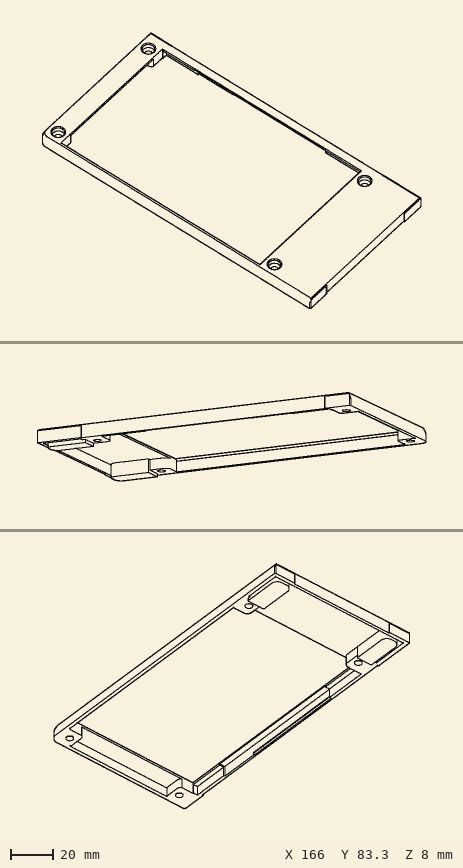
import cadquery as cq
import math

LENGTH = 166.0
WIDTH = 83.3
HEIGHT = 8.0

FOOT_HEIGHT = 1.5
PLATE_THICKNESS = 1.3
WALL = 2.0
CORNER_RADIUS = 4.3
PLATE_BOTTOM = HEIGHT - PLATE_THICKNESS

EDGE_START = 4.8
EDGE_INSET = 0.7
BEVEL_HEIGHT = 1.0
BEVEL_INSET = 0.5

PAD_HEIGHT = 0.5
PAD_BEVEL = PAD_HEIGHT
PAD_TOP_STEP = 0.5
REAR_PAD_LEFT = 13.8
REAR_PAD_RIGHT = 143.0
SIDE_PAD_LENGTH = 12.5

WINDOW_LEFT = 11.8
WINDOW_RIGHT = 133.0
WINDOW_FRONT = 2.3
WINDOW_REAR = 78.5
WINDOW_BEVEL = 0.5

REAR_WALL = 2.3
RELIEF_LEFT = 31.5
GROOVE_LEFT = 52.8
RELIEF_RIGHT = 109.5
RELIEF_DEPTH = 0.7
LIP_THICKNESS = 0.7
GROOVE_DEPTH = 0.3
GROOVE_TOP = 3.0

HOLE_X = (6.5, 138.6)
HOLE_Y = (6.8, 74.5)
BOSS_HALF_LENGTH = 5.6
BOSS_REACH = 4.2
BOSS_CORNER = 2.5
HOLE_RADIUS = 1.8
HEAD_RADIUS = 3.0
HEAD_DEPTH = 2.7
RIM_BEVEL = 0.5
CONE_DEPTH = HEAD_RADIUS - HOLE_RADIUS

FOOT_LEFT = 142.8
FOOT_RIGHT = 163.8
FOOT_RADIUS = 3.5
FRONT_FOOT = (2.7, 12.5)
REAR_FOOT = (70.4, 79.0)


def block(x0, x1, y0, y1, z0, z1):
    """Box given by its two limits along each axis."""
    return cq.Workplane("XY").box(x1 - x0, y1 - y0, z1 - z0, centered=False).translate((x0, y0, z0))


def edge_cutter():
    """Material outside the arc and bevel, swept along the -Y and -X sides."""
    clear = 1.7
    bevel_start = HEIGHT - BEVEL_HEIGHT
    arc_height = bevel_start - EDGE_START
    arc_radius = (arc_height**2 + EDGE_INSET**2) / (2 * EDGE_INSET)
    half_angle = math.atan2(EDGE_INSET, arc_height)
    mid_inset = arc_radius * (1 - math.cos(half_angle))
    mid_height = EDGE_START + arc_radius * math.sin(half_angle)
    top_inset = EDGE_INSET + BEVEL_INSET
    bend = CORNER_RADIUS * (1 - math.sqrt(0.5))
    path = (
        cq.Workplane("XY")
        .moveTo(LENGTH + clear, 0)
        .lineTo(CORNER_RADIUS, 0)
        .threePointArc((bend, bend), (0, CORNER_RADIUS))
        .lineTo(0, WIDTH + clear)
    )
    return (
        cq.Workplane("YZ", origin=(LENGTH + clear, 0, 0))
        .moveTo(0, EDGE_START)
        .threePointArc((mid_inset, mid_height), (EDGE_INSET, bevel_start))
        .lineTo(top_inset, HEIGHT)
        .lineTo(top_inset, HEIGHT + clear)
        .lineTo(-clear, HEIGHT + clear)
        .lineTo(-clear, EDGE_START)
        .close()
        .sweep(path)
    )


def outer_body():
    """Solid outline with its finished edges and the raised pads on the +X and +Y sides."""
    body = block(0, LENGTH, 0, WIDTH, FOOT_HEIGHT, HEIGHT)
    body = body.edges("|Z and ((<X and >Y) or (>X and <Y))").chamfer(PAD_BEVEL)
    body = body.edges("|Z and <X and <Y").fillet(CORNER_RADIUS)
    body = body.cut(edge_cutter())
    side_x = LENGTH - PAD_HEIGHT
    rear_y = WIDTH - PAD_HEIGHT
    body = body.cut(block(REAR_PAD_LEFT, REAR_PAD_RIGHT, rear_y, WIDTH, FOOT_HEIGHT, HEIGHT))
    body = body.cut(block(side_x, LENGTH, SIDE_PAD_LENGTH, WIDTH - SIDE_PAD_LENGTH, FOOT_HEIGHT, HEIGHT))
    pad_top = HEIGHT - PAD_TOP_STEP
    body = body.cut(block(side_x, LENGTH, 0, WIDTH, pad_top, HEIGHT))
    return body.cut(block(0, LENGTH, rear_y, WIDTH, pad_top, HEIGHT))


def cavity():
    """Hollow below the top plate, with the stepped inner face of the rear wall."""
    wall_y = WIDTH - REAR_WALL
    relief_y = wall_y + RELIEF_DEPTH
    groove_y = relief_y + GROOVE_DEPTH
    hollow = block(WALL, LENGTH - WALL, WALL, wall_y, FOOT_HEIGHT, PLATE_BOTTOM)
    lip_relief = block(
        RELIEF_LEFT, RELIEF_RIGHT, WINDOW_REAR, relief_y, FOOT_HEIGHT, HEIGHT - LIP_THICKNESS
    )
    groove = block(GROOVE_LEFT, RELIEF_RIGHT, WINDOW_REAR, groove_y, FOOT_HEIGHT, GROOVE_TOP)
    return hollow.union(lip_relief).union(groove)


def boss(x, y):
    """Block around a screw hole, joined to the nearest long wall and rounded on its free side."""
    x_limits = (x - BOSS_HALF_LENGTH, x + BOSS_HALF_LENGTH)
    if y < WIDTH / 2:
        front, rear, free_side = WALL, y + BOSS_REACH, ">Y"
    else:
        front, rear, free_side = y - BOSS_REACH, WIDTH - REAR_WALL, "<Y"
    body = block(*x_limits, front, rear, FOOT_HEIGHT, PLATE_BOTTOM)
    return body.edges("|Z and " + free_side).fillet(BOSS_CORNER)


def screw_hole(x, y):
    """Bevelled head recess with a conical seat above a through hole."""
    seat = HEIGHT - HEAD_DEPTH
    return (
        cq.Workplane("XZ")
        .polyline([
            (0, 0),
            (HOLE_RADIUS, 0),
            (HOLE_RADIUS, seat - CONE_DEPTH),
            (HEAD_RADIUS, seat),
            (HEAD_RADIUS, HEIGHT - RIM_BEVEL),
            (HEAD_RADIUS + RIM_BEVEL, HEIGHT),
            (0, HEIGHT),
        ])
        .close()
        .revolve(360, (0, 0, 0), (0, 1, 0))
        .translate((x, y, 0))
    )


def foot(y_limits):
    """Foot reaching from below the rim up to the top plate, rounded at its +X corners."""
    pad = block(FOOT_LEFT, FOOT_RIGHT, *y_limits, 0, PLATE_BOTTOM)
    return pad.edges("|Z and >X").fillet(FOOT_RADIUS)


def window():
    """Rectangular opening, bevelled at the top of its +X edge."""
    opening = block(WINDOW_LEFT, WINDOW_RIGHT, WINDOW_FRONT, WINDOW_REAR, 0, HEIGHT)
    bevel = (
        cq.Workplane("XZ", origin=(WINDOW_RIGHT, WINDOW_REAR, HEIGHT))
        .polyline([(0, 0), (WINDOW_BEVEL, 0), (0, -WINDOW_BEVEL)])
        .close()
        .extrude(WINDOW_REAR - WINDOW_FRONT)
    )
    return opening.union(bevel)


result = outer_body().cut(cavity())
hole_places = [(x, y) for x in HOLE_X for y in HOLE_Y]
for place in hole_places:
    result = result.union(boss(*place))
result = result.union(foot(FRONT_FOOT)).union(foot(REAR_FOOT))
result = result.cut(window())
for place in hole_places:
    result = result.cut(screw_hole(*place))